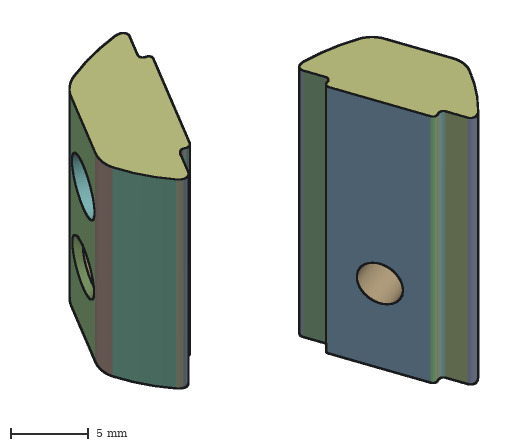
import cadquery as cq
import math

length = 22.0
depth = 6.0
half_width = 6.25

rail_half_width = 3.92
rail_height = 0.85
rail_round = 0.3
rail_root_round = 0.33

shoulder_y = depth - rail_height
tip_round = 0.45
tip_y = shoulder_y - tip_round
lower_tip_inset = 0.1
lower_tip_height = 0.48
flank_top = (half_width - lower_tip_inset, tip_y - lower_tip_height)

flank_radius = 14.95
flank_bottom = (3.9, 0.68)
face_half_width = 2.4

blind_z = 15.49
blind_radius = 2.25
blind_depth = 3.95
blind_tip_radius = 0.26
cone_wall_angle = 10.0

through_z = 7.0
through_radius = 1.63
sink_radius = 2.15
sink_depth = sink_radius - through_radius


def half_profile():
    """+X half of the cross-section, closed along the symmetry plane."""
    quarter = math.sqrt(0.5)
    return (
        cq.Workplane("XY")
        .lineTo(face_half_width, 0)
        .tangentArcPoint(flank_bottom, relative=False)
        .radiusArc(flank_top, -flank_radius)
        .threePointArc(
            (half_width - lower_tip_inset / 4, tip_y - lower_tip_height / 2),
            (half_width, tip_y),
        )
        .threePointArc(
            (half_width - tip_round * (1 - quarter), tip_y + tip_round * quarter),
            (half_width - tip_round, shoulder_y),
        )
        .lineTo(rail_half_width, shoulder_y)
        .lineTo(rail_half_width, depth)
        .lineTo(0, depth)
        .close()
    )


def body():
    half = half_profile().extrude(length)
    corner = cq.selectors.NearestToPointSelector((rail_half_width, depth, length / 2))
    half = half.edges(corner).fillet(rail_round)
    root = cq.selectors.NearestToPointSelector((rail_half_width, shoulder_y, length / 2))
    half = half.edges(root).fillet(rail_root_round)
    return half.union(half.mirror("YZ")).clean()


def bore(outline, z):
    """Solid of revolution about a Y-directed axis at height z, from (radius, y) points."""
    return (
        cq.Workplane("XY")
        .polyline(outline)
        .close()
        .revolve(360, (0, 0), (0, 1))
        .translate((0, 0, z))
    )


def blind_hole():
    cone_depth = (blind_radius - blind_tip_radius) * math.tan(math.radians(cone_wall_angle))
    tip_depth = blind_depth + cone_depth
    outline = [
        (0, 0),
        (blind_radius, 0),
        (blind_radius, blind_depth),
        (blind_tip_radius, tip_depth),
        (0, tip_depth),
    ]
    return bore(outline, blind_z)


def through_hole():
    outline = [(0, 0), (sink_radius, 0), (through_radius, sink_depth), (through_radius, depth), (0, depth)]
    return bore(outline, through_z)


result = body().cut(blind_hole()).cut(through_hole())